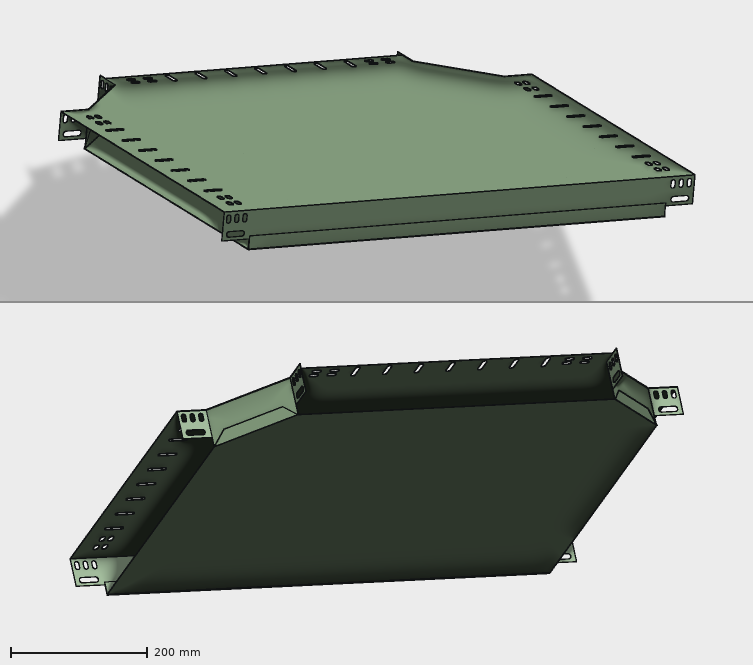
import cadquery as cq
import math


sheet = 1.0
tray_width = 501.5
corner_cut = 99.0
stub_length = 46.0
wall_depth = 60.5
tab_depth = 45.0
branch_setback = 15.0
lip_height = 21.0

slot_length = 30.0
floor_slot_width = 7.2
tab_slot_width = 8.5
floor_oval_length = 14.5
floor_oval_width = 8.0
tab_oval_length = 13.0
tab_oval_width = 7.0
floor_slot_count = 7
floor_slot_pitch = tray_width / 10
floor_slot_inset = 36.0
oval_pair_places = (186.0, 214.0)
oval_pair_spacing = 14.0
tab_ovals = 3
tab_oval_pitch = 14.0
tab_oval_height = 12.0
tab_slot_height = 36.0
tab_middle = 22.0

turn_x = 151.2
turn_y = 19.25
turn_z = 61.2

half_width = tray_width / 2
corner_reach = half_width + corner_cut
run_end = corner_reach + stub_length
branch_end = -corner_cut - stub_length
wall_middle = half_width - sheet / 2
mitre_slope = math.tan(math.radians(45) / 2)


def block(x_range, y_range, z_range):
    """A box between the given coordinate limits."""
    lengths = [end - start for start, end in (x_range, y_range, z_range)]
    corner = (x_range[0], y_range[0], z_range[0])
    return cq.Workplane("XY").box(*lengths, centered=False).translate(corner)


def tee_body(inset, z_range):
    """A six-sided prism covering the tee without its stubs, its sides moved inwards by `inset`."""
    mitre = inset * mitre_slope
    end = corner_reach - mitre
    side = half_width - inset
    cut_end = -corner_cut + mitre
    right_side = [(end, tray_width - inset), (end, inset), (side, cut_end)]
    left_side = [(-x, y) for x, y in reversed(right_side)]
    bottom, top = z_range
    outline = cq.Workplane("XY").workplane(offset=bottom).polyline(right_side + left_side).close()
    return outline.extrude(top - bottom)


def tee_passages(inset, extra, z_range):
    """The straight run and branch, narrowed by `inset` per side and longer by `extra`."""
    reach = run_end + extra
    side = half_width - inset
    run = block((-reach, reach), (inset, tray_width - inset), z_range)
    branch = block((-side, side), (branch_end - extra, tray_width - inset), z_range)
    return run.union(branch)


def opening_holes():
    """Cutters for the holes at one opening, whose edge runs along X with the row at y = 0."""
    slot_places = [
        ((i - (floor_slot_count - 1) / 2) * floor_slot_pitch, 0) for i in range(floor_slot_count)
    ]
    oval_places = [
        (side * place, row * oval_pair_spacing / 2)
        for side in (-1, 1)
        for place in oval_pair_places
        for row in (-1, 1)
    ]
    slots = cq.Workplane("XY").pushPoints(slot_places).slot2D(slot_length, floor_slot_width, 90)
    ovals = cq.Workplane("XY").pushPoints(oval_places).slot2D(floor_oval_length, floor_oval_width)
    return slots.extrude(sheet).union(ovals.extrude(sheet))


def floor_holes():
    """Cutters for the floor holes at the branch and at both ends of the run."""
    row_place = run_end - floor_slot_inset
    branch = opening_holes().translate((0, branch_end + floor_slot_inset, 0))
    right = opening_holes().rotate((0, 0, 0), (0, 0, 1), 90).translate((row_place, half_width, 0))
    return branch.union(right).union(right.mirror("YZ"))


def tab_holes():
    """Cutters for one tab in the XZ plane, with the tab end at x = 0 and the tab along -X."""
    oval_places = [
        (-tab_middle + (i - (tab_ovals - 1) / 2) * tab_oval_pitch, tab_oval_height)
        for i in range(tab_ovals)
    ]
    ovals = cq.Workplane("XZ").pushPoints(oval_places).slot2D(tab_oval_length, tab_oval_width, 90)
    slot = cq.Workplane("XZ").center(-tab_middle, tab_slot_height).slot2D(slot_length, tab_slot_width)
    return ovals.extrude(sheet, both=True).union(slot.extrude(sheet, both=True))


def all_tab_holes():
    """Cutters for the six tabs: two at each end of the run and two at the branch."""
    front = tab_holes().translate((run_end, half_width - wall_middle, 0))
    back = tab_holes().translate((run_end, half_width + wall_middle, 0))
    branch = tab_holes().rotate((0, 0, 0), (0, 0, 1), -90).translate((wall_middle, branch_end, 0))
    right = front.union(back).union(branch)
    return right.union(right.mirror("YZ"))


def make_tray():
    """The tray: floor and walls of sheet, open at its three ends, with shallower coupling tabs."""
    shell = tee_body(0, (0, wall_depth)).union(tee_passages(0, 0, (0, tab_depth)))
    inside = (sheet, wall_depth)
    hollow = tee_body(sheet, inside).union(tee_passages(sheet, stub_length, inside))
    side = half_width - sheet
    setback = block((-side, side), (branch_end, branch_end + branch_setback), (0, sheet))
    return shell.cut(hollow).cut(setback).cut(floor_holes()).cut(all_tab_holes())


def corner_lip(lip_base):
    """The right-hand corner lip: its ends slope at 45 degrees, and it lies on the tray wall."""
    wall_length = math.sqrt(2) * corner_cut
    half_base = wall_length / 2 + sheet * mitre_slope
    half_top = half_base - lip_height
    lip_top = lip_base - lip_height
    wall_plane = cq.Plane(
        origin=(half_width + corner_cut / 2, -corner_cut / 2, 0),
        xDir=(1, 1, 0),
        normal=(1, -1, 0),
    )
    corners = [(-half_base, lip_base), (half_base, lip_base), (half_top, lip_top), (-half_top, lip_top)]
    return cq.Workplane(wall_plane).polyline(corners).close().extrude(sheet)


def make_cover():
    """The cover: a sheet on the wall edges, with lips outside the back and corner walls."""
    outer_face = wall_depth + sheet
    sheet_body = tee_body(-sheet, (wall_depth, outer_face))
    back_lip = block(
        (-corner_reach, corner_reach),
        (tray_width, tray_width + sheet),
        (outer_face - lip_height, outer_face),
    )
    right_lip = corner_lip(outer_face)
    return sheet_body.union(back_lip).union(right_lip).union(right_lip.mirror("YZ"))


def turn_into_place(body):
    """Turn a body from the flat position about X, then Y, then Z."""
    turned = body.rotate((0, 0, 0), (1, 0, 0), turn_x)
    turned = turned.rotate((0, 0, 0), (0, 1, 0), turn_y)
    return turned.rotate((0, 0, 0), (0, 0, 1), turn_z)


tray = turn_into_place(make_tray())
cover = turn_into_place(make_cover())

result = cq.Compound.makeCompound([tray.solids().val(), cover.solids().val()])